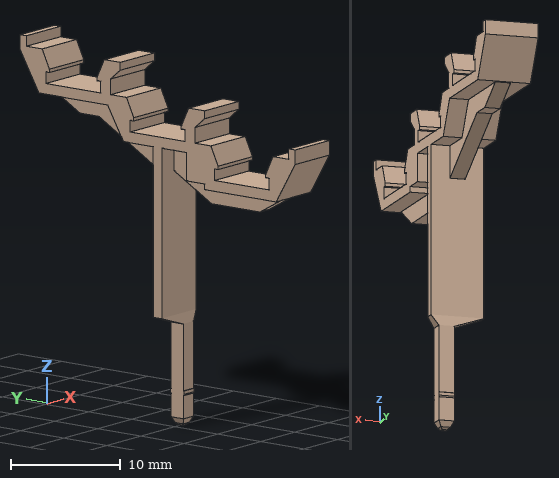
import cadquery as cq
import math

width = 5.1
length = 32.0
height = 34.88
slope_deg = 30.0
slope_tan = math.tan(math.radians(slope_deg))
half_length = length / 2

seat_pitch = 9.8
seat_step = 3.17
seat_ys = [seat_pitch, 0.0, -seat_pitch]
seat_half_width = 3.17
web_thickness = 1.0

hook_tip_y = 2.75
hook_top_y = 3.6
hook_under_z = 1.08
hook_tip_z = 1.4
neck_y = 4.35
neck_z = 1.45
nose_y = 5.48
nose_z = 2.45

lip_width = 0.75
lip_height = 0.98
lip_outer_height = 1.35

step_top_y = 5.8
heel_y = -3.35
heel_height = 0.52

rib_width = 1.45
rib_depth = 1.75
rib_end_y = 13.45
rib_upper_flat_y = 8.23
rib_lower_flat_y = -4.85

stem_thickness = 1.0
stem_bottom_z = 10.6
pin_x = 1.1
pin_width = 1.5
pin_thickness = 1.45
pin_top_z = 9.63

tip_top_z = 0.75
tip_mid_z = 0.2
tip_mid_size = 0.95
tip_end_size = 0.52

barb_top_z = 3.4
barb_crest_bottom_z = 3.07
barb_bottom_z = 2.93
barb_height = 0.07

upper_floor_z = height - lip_height - seat_step
floor_zs = [upper_floor_z - i * seat_step for i in range(len(seat_ys))]
web_bottom_zs = [z - web_thickness for z in floor_zs]
last_ledge_z = floor_zs[-1] + seat_step


def seat_outline(center_y, floor_z):
    """Inside of one seat, from the +Y hook across the floor to the -Y hook."""
    half = [
        (hook_top_y, seat_step),
        (hook_tip_y, hook_tip_z),
        (hook_tip_y, hook_under_z),
        (seat_half_width, hook_under_z),
        (seat_half_width, 0.0),
    ]
    plus_side = [(center_y + y, floor_z + z) for y, z in half]
    minus_side = [(center_y - y, floor_z + z) for y, z in reversed(half)]
    return plus_side + minus_side


def nose_outline(center_y, floor_z):
    """Outer side of a free-standing hook, down to the next ledge."""
    return [
        (center_y - nose_y, floor_z + seat_step),
        (center_y - nose_y, floor_z + nose_z),
        (center_y - neck_y, floor_z + neck_z),
        (center_y - neck_y, floor_z),
    ]


def end_outline(side, ledge_z, bottom_z):
    """End of the strip, from its bottom corner up and over the lip."""
    lip_top_z = ledge_z + lip_height
    wall_z = lip_top_z - lip_outer_height
    bottom_y = half_length - (wall_z - bottom_z) * slope_tan
    points = [
        (bottom_y, bottom_z),
        (half_length, wall_z),
        (half_length, lip_top_z),
        (half_length - lip_width, lip_top_z),
        (half_length - lip_width, ledge_z),
    ]
    return [(side * y, z) for y, z in points]


def underside_outline():
    """Stepped underside of the strip between its end corners, +Y to -Y."""
    upper_z, middle_z, lower_z = web_bottom_zs
    heel_z = lower_z + heel_height
    return [
        (step_top_y, upper_z),
        (step_top_y - seat_step * slope_tan, middle_z),
        (heel_y, middle_z),
        (heel_y, heel_z),
        (-nose_y, heel_z),
        (-nose_y, lower_z),
    ]


def extrude_across(points, x_center, x_width):
    """Extrude a YZ outline symmetrically about x_center."""
    plane = cq.Workplane("YZ", origin=(x_center, 0, 0))
    return plane.polyline(points).close().extrude(x_width / 2, both=True)


def make_strip():
    points = end_outline(1, floor_zs[0] + seat_step, web_bottom_zs[0])
    for index, (seat_y, floor_z) in enumerate(zip(seat_ys, floor_zs)):
        points += seat_outline(seat_y, floor_z)
        if index < len(seat_ys) - 1:
            points += nose_outline(seat_y, floor_z)
    points += reversed(end_outline(-1, last_ledge_z, web_bottom_zs[-1]))
    points += reversed(underside_outline())
    return extrude_across(points, 0, width)


def make_rib():
    upper_z = web_bottom_zs[0] - rib_depth
    lower_z = web_bottom_zs[-1] - rib_depth
    bevel_run = rib_depth / slope_tan
    points = [
        (-rib_end_y, web_bottom_zs[-1]),
        (-rib_end_y + bevel_run, lower_z),
        (rib_lower_flat_y, lower_z),
        (0, lower_z - rib_lower_flat_y * slope_tan),
        (0, upper_z - rib_upper_flat_y * slope_tan),
        (rib_upper_flat_y, upper_z),
        (rib_end_y - bevel_run, upper_z),
        (rib_end_y, web_bottom_zs[0]),
    ]
    points += underside_outline()
    return extrude_across(points, 0, rib_width)


def taper(top, bottom):
    """Loft between two rectangles, each given as (x, z, x size, y size)."""
    top_x, top_z, top_dx, top_dy = top
    bottom_x, bottom_z, bottom_dx, bottom_dy = bottom
    return (
        cq.Workplane("XY", origin=(top_x, 0, top_z))
        .rect(top_dx, top_dy)
        .workplane(offset=bottom_z - top_z)
        .center(bottom_x - top_x, 0)
        .rect(bottom_dx, bottom_dy)
        .loft(ruled=True)
    )


def make_stem_and_pin():
    stem_top_z = floor_zs[1] - web_thickness / 2
    sections = [
        (0, stem_top_z, width, stem_thickness),
        (0, stem_bottom_z, width, stem_thickness),
        (pin_x, pin_top_z, pin_width, pin_thickness),
        (pin_x, tip_top_z, pin_width, pin_thickness),
        (pin_x, tip_mid_z, tip_mid_size, tip_mid_size),
        (pin_x, 0, tip_end_size, tip_end_size),
    ]
    body = taper(sections[0], sections[1])
    for top, bottom in zip(sections[1:], sections[2:]):
        body = body.union(taper(top, bottom))
    return body


def make_barbs():
    face_y = pin_thickness / 2
    crest_y = face_y + barb_height
    points = [
        (face_y, barb_top_z),
        (crest_y, barb_top_z),
        (crest_y, barb_crest_bottom_z),
        (face_y, barb_bottom_z),
        (-face_y, barb_bottom_z),
        (-crest_y, barb_crest_bottom_z),
        (-crest_y, barb_top_z),
        (-face_y, barb_top_z),
    ]
    return extrude_across(points, pin_x, pin_width)


result = make_strip().union(make_rib()).union(make_stem_and_pin()).union(make_barbs())